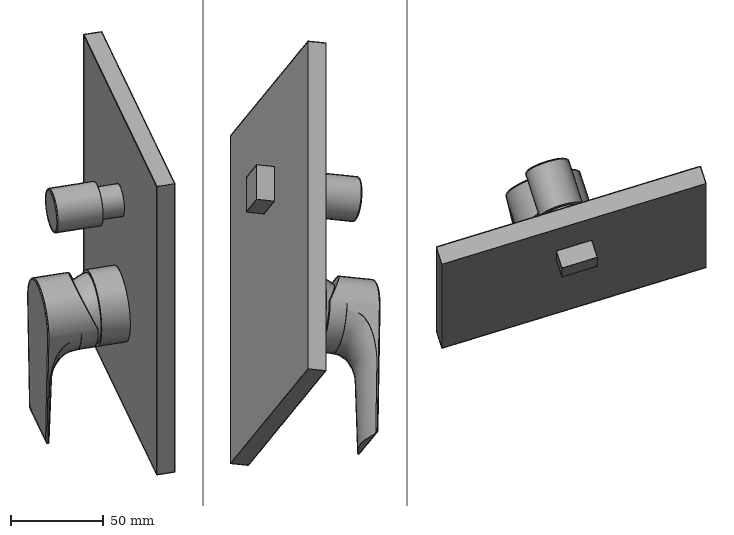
import cadquery as cq
import math

PLATE_WIDTH = 150.0
PLATE_HEIGHT = 190.0
PLATE_THICKNESS = 10.2
PLATE_CHAMFER = 0.2
EDGE_CHAMFER = 0.6

KNOB_Z = 131.0
NECK_RADIUS = 9.0
NECK_END = 23.0
KNOB_RADIUS = 12.2
KNOB_END = 49.0
SPINDLE_SIDE = 20
SPINDLE_LENGTH = 10

MIXER_Z = 62.8
MIXER_RADIUS = 21.0
BASE_END = 26.3
BALL_RADIUS = 19.9
BALL_DEPTH = 22.9

HEAD_START = 28.3
HEAD_FRONT = 56.5
RELIEF_DEPTH = 37.5
BLADE_BOTTOM = -10.6
BLADE_HALF_WIDTH = 16.9
TIP_ROUND = 3.0
TIP_CORNER = 1.0
NECK_START = 37.7
BEND_RADIUS = 12.5
BLADE_EDGE = 1.2
TIP_THICKNESS = 5.0
BEND_Z = MIXER_Z - MIXER_RADIUS - BEND_RADIUS
BEND_STEPS = 4
SIDE_MARGIN = 0.5
EDGE_OVERLAP = 1.0
BEND_EDGE_REACH = HEAD_FRONT - BLADE_EDGE - NECK_START


def cylinder(radius, start, end, z):
    """Cylinder along -Y between two depths."""
    return cq.Workplane("XZ", origin=(0, -start, z)).circle(radius).extrude(end - start)


def side_profile(points):
    """Start a profile of (depth, Z) points in the YZ plane."""
    return cq.Workplane("YZ").polyline([(-depth, z) for depth, z in points])


def make_plate():
    plate = cq.Workplane("XY").box(PLATE_WIDTH, PLATE_THICKNESS, PLATE_HEIGHT)
    plate = plate.translate((0, -PLATE_THICKNESS / 2, PLATE_HEIGHT / 2))
    return plate.faces("<Y").edges().chamfer(PLATE_CHAMFER)


def make_diverter():
    spindle = (
        cq.Workplane("XZ", origin=(0, 0, KNOB_Z))
        .rect(SPINDLE_SIDE, SPINDLE_SIDE)
        .extrude(-SPINDLE_LENGTH)
    )
    neck = cylinder(NECK_RADIUS, PLATE_THICKNESS, NECK_END, KNOB_Z)
    knob = cylinder(KNOB_RADIUS, NECK_END, KNOB_END, KNOB_Z)
    knob = knob.faces("<Y").edges().chamfer(EDGE_CHAMFER)
    return spindle, neck.union(knob)


def make_mixer_base():
    base = cylinder(MIXER_RADIUS, PLATE_THICKNESS, BASE_END, MIXER_Z)
    ball = cq.Workplane("XY").sphere(BALL_RADIUS).translate((0, -BALL_DEPTH, MIXER_Z))
    ball_front = ball.intersect(cylinder(MIXER_RADIUS, PLATE_THICKNESS, HEAD_FRONT, MIXER_Z))
    return base.union(ball_front)


def make_lever_envelope():
    """Front outline of the lever: round top, tangent sides tapering to the tip."""
    drop = MIXER_Z - BLADE_BOTTOM
    corner_distance = math.hypot(BLADE_HALF_WIDTH, drop)
    tangent_angle = math.acos(MIXER_RADIUS / corner_distance) - math.atan2(drop, BLADE_HALF_WIDTH)
    tangent_x = MIXER_RADIUS * math.cos(tangent_angle)
    tangent_z = MIXER_Z + MIXER_RADIUS * math.sin(tangent_angle)
    envelope = (
        cq.Workplane("XZ", origin=(0, -HEAD_START, 0))
        .moveTo(-BLADE_HALF_WIDTH, BLADE_BOTTOM)
        .lineTo(-tangent_x, tangent_z)
        .threePointArc((0, MIXER_Z + MIXER_RADIUS), (tangent_x, tangent_z))
        .lineTo(BLADE_HALF_WIDTH, BLADE_BOTTOM)
        .close()
        .extrude(HEAD_FRONT - HEAD_START)
    )
    envelope = envelope.edges("|Y and <Z").chamfer(TIP_CORNER)
    upper_rim = cq.selectors.BoxSelector(
        (-PLATE_WIDTH, -HEAD_FRONT - 2, BLADE_BOTTOM + TIP_CORNER / 2),
        (PLATE_WIDTH, -HEAD_FRONT + 2, PLATE_HEIGHT),
    )
    envelope = envelope.faces("<Y").edges(upper_rim).chamfer(EDGE_CHAMFER)
    tip_waste = (
        side_profile([
            (HEAD_FRONT - TIP_ROUND, BLADE_BOTTOM),
            (HEAD_FRONT, BLADE_BOTTOM),
            (HEAD_FRONT, BLADE_BOTTOM + TIP_ROUND),
        ])
        .radiusArc((-HEAD_FRONT + TIP_ROUND, BLADE_BOTTOM), -TIP_ROUND)
        .close()
        .extrude(MIXER_RADIUS, both=True)
    )
    return envelope.cut(tip_waste)


def bend_edge_reach(angle):
    """Distance from the bend centre to its elliptical side edge, at an angle from +Z."""
    height = BEND_RADIUS + MIXER_RADIUS
    return BEND_EDGE_REACH * height / math.hypot(
        BEND_EDGE_REACH * math.cos(angle), height * math.sin(angle)
    )


def section_half_width(z):
    """Half width of the tapered lever at a height, with a margin to be trimmed off."""
    share = (MIXER_Z - z) / (MIXER_Z - BLADE_BOTTOM)
    return MIXER_RADIUS + (BLADE_HALF_WIDTH - MIXER_RADIUS) * share + SIDE_MARGIN


def crown_wire(origin, outward, edge_reach, middle_reach):
    """Crowned section: its sides end at edge_reach and its middle bulges to middle_reach."""
    half_width = section_half_width(origin[1] + outward[1] * edge_reach)

    def at(x, reach):
        return cq.Vector(x, origin[0] + outward[0] * reach, origin[1] + outward[1] * reach)

    direction = math.copysign(EDGE_OVERLAP, edge_reach - middle_reach)
    left = at(-half_width, edge_reach)
    right = at(half_width, edge_reach)
    left_back = at(-half_width, edge_reach + direction)
    right_back = at(half_width, edge_reach + direction)
    return cq.Wire.assembleEdges([
        cq.Edge.makeThreePointArc(left, at(0, middle_reach), right),
        cq.Edge.makeLine(right, right_back),
        cq.Edge.makeLine(right_back, left_back),
        cq.Edge.makeLine(left_back, left),
    ])


def make_lever_underside():
    """Half-round head section turning through 90 degrees into a shallow blade crown."""
    sections = []
    for step in range(BEND_STEPS + 1):
        angle = step / BEND_STEPS * math.pi / 2
        outward = (-math.sin(angle), math.cos(angle))
        sections.append(crown_wire((-NECK_START, BEND_Z), outward, bend_edge_reach(angle), BEND_RADIUS))
    bend = cq.Workplane(cq.Solid.makeLoft(sections))
    tip_reach = HEAD_FRONT - BLADE_EDGE - NECK_START
    tip_middle = HEAD_FRONT - TIP_THICKNESS - NECK_START
    tip = crown_wire((-NECK_START, BLADE_BOTTOM), (-1, 0), tip_reach, tip_middle)
    blade = cq.Workplane(cq.Solid.makeLoft([sections[-1], tip], True))
    return bend, blade


def make_lever_front():
    """Relieved upper head and the flat-sided material in front of the crowned underside."""
    edge_depth = HEAD_FRONT - BLADE_EDGE + EDGE_OVERLAP / 2
    curve = []
    for step in range(1, BEND_STEPS + 1):
        angle = step / BEND_STEPS * math.pi / 2
        reach = bend_edge_reach(angle) + EDGE_OVERLAP / 2
        curve.append((-NECK_START - reach * math.sin(angle), BEND_Z + reach * math.cos(angle)))
    return (
        side_profile([
            (edge_depth, BEND_Z),
            (edge_depth, BLADE_BOTTOM),
            (HEAD_FRONT, BLADE_BOTTOM),
            (HEAD_FRONT, MIXER_Z + MIXER_RADIUS),
            (RELIEF_DEPTH, MIXER_Z + MIXER_RADIUS),
            (HEAD_START, MIXER_Z),
            (NECK_START, MIXER_Z),
        ])
        .spline(curve, tangents=[(-1, 0), (0, -1)], includeCurrent=True)
        .close()
        .extrude(MIXER_RADIUS, both=True)
    )


def make_lever():
    envelope = make_lever_envelope()
    bend, blade = make_lever_underside()
    head_back = (
        cylinder(MIXER_RADIUS, HEAD_START, NECK_START, MIXER_Z)
        .intersect(cq.Workplane("XY").box(
            2 * MIXER_RADIUS, 2 * HEAD_FRONT, MIXER_Z, centered=(True, True, False)
        ))
    )
    lever = make_lever_front().intersect(envelope, clean=False).union(head_back, clean=False)
    for piece in (bend, blade):
        lever = lever.union(piece.intersect(envelope, clean=False), clean=False)
    return lever


spindle, diverter = make_diverter()
result = (
    make_plate()
    .union(spindle)
    .union(diverter)
    .union(make_mixer_base())
    .union(make_lever(), clean=False)
)